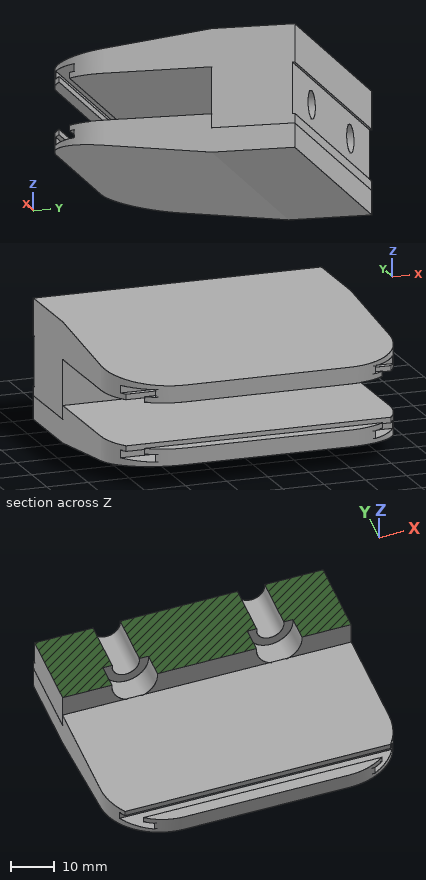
import cadquery as cq

LENGTH = 70.0
DEPTH = 60.0
HEIGHT = 29.0
BACK = DEPTH
HALF_HEIGHT = HEIGHT / 2

MOUTH_HEIGHT = 11.0
HALF_MOUTH = MOUTH_HEIGHT / 2
BLOCK_DEPTH = 19.6
BLOCK_FRONT = BACK - BLOCK_DEPTH
TIP_HEIGHT = 9.5
CORNER_RADIUS = 15.0

SEAT_DEPTH = 3.3
SEAT_Z = -HALF_MOUTH - SEAT_DEPTH

SLOT_CENTER = 4.55
SLOT_WIDTH = 5.95
SLOT_NECK_WIDTH = 3.3
SLOT_LIP = 1.3
SLOT_CAVITY = 1.8

GROOVE_DEPTH = 0.55
GROOVE_HEIGHT = 12.05
GROOVE_TOP = HALF_MOUTH

HOLE_SPACING = 35.0
HOLE_Z = GROOVE_TOP - GROOVE_HEIGHT / 2
HOLE_DIAMETER = 6.6
COUNTERBORE_DIAMETER = 11.0
COUNTERBORE_DEPTH = 6.0


def extrude_along_length(points):
    """Extrude a (Y, Z) outline over the full length, centred on X = 0."""
    return cq.Workplane("YZ").polyline(points).close().extrude(LENGTH / 2, both=True)


def length_box(y_start, y_end, z_start, z_end):
    """Full-length bar with the given Y and Z limits."""
    return extrude_along_length(
        [(y_start, z_start), (y_end, z_start), (y_end, z_end), (y_start, z_end)]
    )


def round_front_corners(body):
    """Trim a body to the plan outline with rounded front corners."""
    plan = (
        cq.Workplane("XY")
        .box(LENGTH, DEPTH, HEIGHT, centered=(True, False, True))
        .edges("|Z and <Y")
        .fillet(CORNER_RADIUS)
    )
    return body.intersect(plan)


def cut_t_slot(body, side):
    """Cut the T-slot into the mouth face; side is +1 for the upper jaw, -1 for the lower."""
    cavity_start = side * (HALF_MOUTH + SLOT_LIP)
    cavity_end = cavity_start + side * SLOT_CAVITY
    neck_start = SLOT_CENTER - SLOT_NECK_WIDTH / 2
    neck_end = SLOT_CENTER + SLOT_NECK_WIDTH / 2
    cavity_front = SLOT_CENTER - SLOT_WIDTH / 2
    cavity_back = SLOT_CENTER + SLOT_WIDTH / 2
    neck = length_box(neck_start, neck_end, side * HALF_MOUTH, cavity_start)
    cavity = length_box(cavity_front, cavity_back, cavity_start, cavity_end)
    return body.cut(neck).cut(cavity)


def cut_mounting_holes(body):
    """Bore the two holes through the block, counterbored from the mouth side."""
    for x in (-HOLE_SPACING / 2, HOLE_SPACING / 2):
        start = cq.Workplane("XZ", origin=(x, BLOCK_FRONT, HOLE_Z))
        bore = start.circle(HOLE_DIAMETER / 2).extrude(-BLOCK_DEPTH)
        counterbore = start.circle(COUNTERBORE_DIAMETER / 2).extrude(-COUNTERBORE_DEPTH)
        body = body.cut(bore).cut(counterbore)
    return body


def make_housing():
    """Upper jaw together with the block that closes the back of the mouth."""
    body = extrude_along_length([
        (0, HALF_MOUTH),
        (0, TIP_HEIGHT),
        (BLOCK_FRONT, HALF_HEIGHT),
        (BACK, HALF_HEIGHT),
        (BACK, SEAT_Z),
        (BLOCK_FRONT, SEAT_Z),
        (BLOCK_FRONT, HALF_MOUTH),
    ])
    body = round_front_corners(body)
    body = cut_t_slot(body, 1)
    groove = length_box(BACK - GROOVE_DEPTH, BACK, GROOVE_TOP - GROOVE_HEIGHT, GROOVE_TOP)
    return cut_mounting_holes(body.cut(groove))


def make_lower_jaw():
    """Lower jaw, stepped down at the back to seat the housing block."""
    body = extrude_along_length([
        (0, -HALF_MOUTH),
        (0, -TIP_HEIGHT),
        (BLOCK_FRONT, -HALF_HEIGHT),
        (BACK, -HALF_HEIGHT),
        (BACK, SEAT_Z),
        (BLOCK_FRONT, SEAT_Z),
        (BLOCK_FRONT, -HALF_MOUTH),
    ])
    return cut_t_slot(round_front_corners(body), -1)


housing = make_housing()
lower_jaw = make_lower_jaw()
result = cq.Compound.makeCompound([housing.val(), lower_jaw.val()])